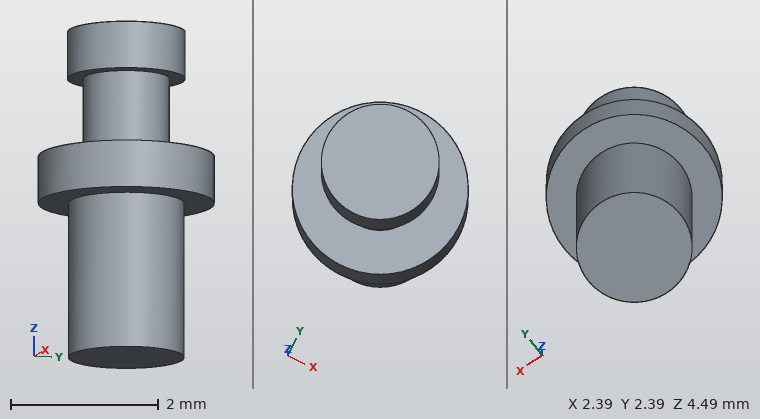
import cadquery as cq

total_length = 4.49

shank_diameter = 1.57
flange_diameter = 2.39
neck_diameter = 1.17
head_diameter = 1.6

collar_height = 0.64
neck_height = 1.078
shank_height = total_length - 2 * collar_height - neck_height

sections = [
    (shank_diameter, shank_height),
    (flange_diameter, collar_height),
    (neck_diameter, neck_height),
    (head_diameter, collar_height),
]


def stack_cylinders(sections):
    """Build coaxial cylinders end to end, starting at Z = 0."""
    body = cq.Workplane("XY")
    base_z = 0.0
    for diameter, height in sections:
        cylinder = cq.Workplane("XY").workplane(offset=base_z).circle(diameter / 2).extrude(height)
        body = body.add(cylinder)
        base_z += height
    return body.combine()


result = stack_cylinders(sections)